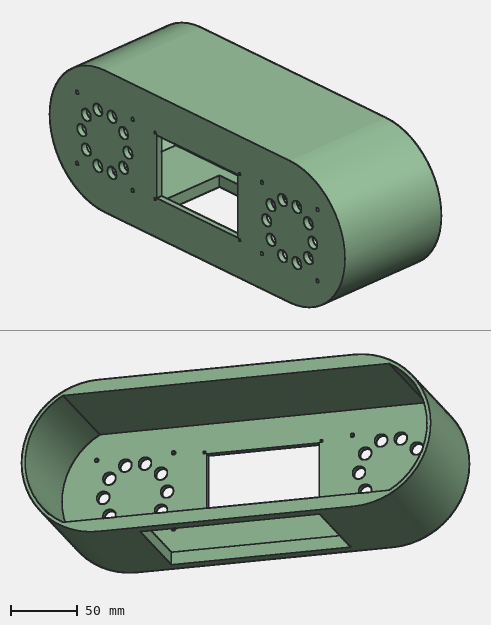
import cadquery as cq

length = 320.0
height = 120.0
depth = 100.0
end_axis_spacing = length - height

flat_wall = 10.0
end_wall = 3.0
front_wall = 5.0

window_width = 87.7
window_height = 53.0
window_screw_spacing_x = 91.5
window_screw_spacing_z = 56.0
window_screw_diameter = 2.0

grille_hole_count = 10
grille_ring_radius = 25.0
grille_hole_diameter = 10.0
speaker_screw_spacing = 60.0
speaker_screw_diameter = 3.0

bottom_opening_width = 140.0
bottom_opening_depth = 80.0

front_y = -depth / 2
front_plane = cq.Workplane("XZ", origin=(0, front_y, 0))


def stadium(start_y, stadium_height, extent):
    """Stadium prism running in +Y from start_y, rounded about the end axes."""
    profile = cq.Workplane("XZ", origin=(0, start_y, 0))
    return profile.slot2D(end_axis_spacing + stadium_height, stadium_height).extrude(-extent)


def front_holes(centres, diameter):
    """Cylinders through the front wall, one at each centre."""
    return centres.circle(diameter / 2).extrude(-front_wall)


def rectangle_corners(plane, width, rectangle_height):
    """The four corners of a centred rectangle."""
    return plane.rect(width, rectangle_height, forConstruction=True).vertices()


body = stadium(front_y, height, depth)
cavity = stadium(front_y + front_wall, height - 2 * end_wall, depth - front_wall)
cavity_limits = cq.Workplane("XY").box(length, depth, height - 2 * flat_wall)
body = body.cut(cavity.intersect(cavity_limits))

body = body.cut(front_plane.rect(window_width, window_height).extrude(-front_wall))
window_screws = rectangle_corners(front_plane, window_screw_spacing_x, window_screw_spacing_z)
body = body.cut(front_holes(window_screws, window_screw_diameter))

for side in (-1, 1):
    speaker = front_plane.center(side * end_axis_spacing / 2, 0)
    grille = speaker.polarArray(grille_ring_radius, 0, 360, grille_hole_count, rotate=False)
    body = body.cut(front_holes(grille, grille_hole_diameter))
    speaker_screws = rectangle_corners(speaker, speaker_screw_spacing, speaker_screw_spacing)
    body = body.cut(front_holes(speaker_screws, speaker_screw_diameter))

bottom_plane = cq.Workplane("XY", origin=(0, 0, -height / 2))
body = body.cut(bottom_plane.rect(bottom_opening_width, bottom_opening_depth).extrude(flat_wall))

result = body.solids()